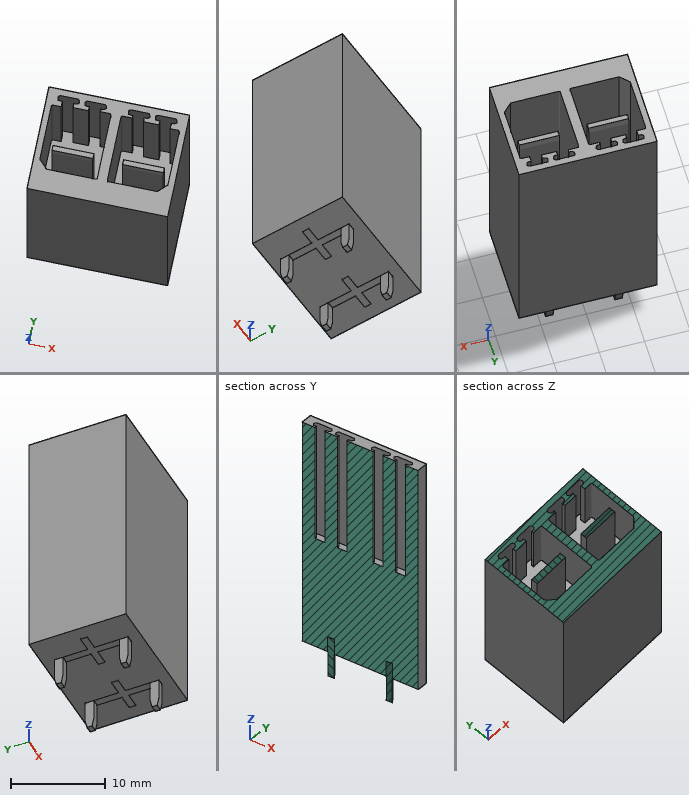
import cadquery as cq

WIDTH = 15.23
DEPTH = 11.4
TOTAL_HEIGHT = 31.8
LEG_LENGTH = 3.5
HOUSING_HEIGHT = TOTAL_HEIGHT - LEG_LENGTH
PITCH = 7.63

OUTER_WALL_X = -3.12
INNER_WALL_X = 3.28
SOCKET_FRONT_Y = -3.2
OUTER_SHOULDER_Y = 3.82
INNER_SHOULDER_Y = 4.13
RIB_END_Y = 3.98
KEY_CHAMFER = 0.95
BACK_CORNER_RADIUS = 0.22
FRONT_CORNER_RADIUS = 0.15
SOCKET_DEPTH = 14.3

T_SLOT_SPACING = 2.93
T_NECK_WIDTH = 1.25
T_HEAD_WIDTH = 2.32
T_HEAD_FRONT_Y = 4.42
T_HEAD_BACK_Y = 5.0
T_HEAD_THICKNESS = T_HEAD_BACK_Y - T_HEAD_FRONT_Y

BLADE_WIDTH = 4.42
BLADE_THICKNESS = 0.8
BLADE_TIP_THICKNESS = 0.55
BLADE_TAPER_HEIGHT = 0.8
BLADE_TOP_BELOW_RIM = 3.02
LEG_SPACING = 7.63
LEG_WIDTH = 0.83
LEG_DEPTH = 1.02
LEG_TIP_DEPTH = 0.6
LEG_TAPER_HEIGHT = 0.95
CROSSBAR_HEIGHT = 1.9


def make_socket():
    """Socket of the left pole, its outer side facing -X, at the origin."""
    rim = cq.Workplane("XY").workplane(offset=TOTAL_HEIGHT)
    mid_depth_z = TOTAL_HEIGHT - SOCKET_DEPTH / 2
    half_spacing = T_SLOT_SPACING / 2

    chamber = (
        rim.moveTo(OUTER_WALL_X, OUTER_SHOULDER_Y)
        .lineTo(-half_spacing, OUTER_SHOULDER_Y)
        .lineTo(-half_spacing, RIB_END_Y)
        .lineTo(half_spacing, RIB_END_Y)
        .lineTo(half_spacing, INNER_SHOULDER_Y)
        .lineTo(INNER_WALL_X, INNER_SHOULDER_Y)
        .lineTo(INNER_WALL_X, SOCKET_FRONT_Y)
        .lineTo(OUTER_WALL_X + KEY_CHAMFER, SOCKET_FRONT_Y)
        .lineTo(OUTER_WALL_X, SOCKET_FRONT_Y + KEY_CHAMFER)
        .close()
        .extrude(-SOCKET_DEPTH)
    )
    for x, y, radius in [
        (OUTER_WALL_X, OUTER_SHOULDER_Y, BACK_CORNER_RADIUS),
        (INNER_WALL_X, INNER_SHOULDER_Y, BACK_CORNER_RADIUS),
        (INNER_WALL_X, SOCKET_FRONT_Y, FRONT_CORNER_RADIUS),
    ]:
        corner = cq.selectors.NearestToPointSelector((x, y, mid_depth_z))
        chamber = chamber.edges(corner).fillet(radius)

    slot_centres = [(-half_spacing, 0), (half_spacing, 0)]
    head_centre_y = (T_HEAD_FRONT_Y + T_HEAD_BACK_Y) / 2
    necks = (
        rim.center(0, head_centre_y / 2)
        .pushPoints(slot_centres)
        .rect(T_NECK_WIDTH, head_centre_y)
        .extrude(-SOCKET_DEPTH)
    )
    heads = (
        rim.center(0, head_centre_y)
        .pushPoints(slot_centres)
        .slot2D(T_HEAD_WIDTH, T_HEAD_THICKNESS)
        .extrude(-SOCKET_DEPTH)
    )
    return chamber.union(necks).union(heads)


def make_leg():
    """Leg with its axis on Z and its tip at z = 0, tapered in Y only."""
    return (
        cq.Workplane("YZ")
        .moveTo(-LEG_DEPTH / 2, LEG_LENGTH)
        .lineTo(-LEG_DEPTH / 2, LEG_TAPER_HEIGHT)
        .lineTo(-LEG_TIP_DEPTH / 2, 0)
        .lineTo(LEG_TIP_DEPTH / 2, 0)
        .lineTo(LEG_DEPTH / 2, LEG_TAPER_HEIGHT)
        .lineTo(LEG_DEPTH / 2, LEG_LENGTH)
        .close()
        .extrude(LEG_WIDTH / 2, both=True)
    )


def make_blade():
    """Blade standing on the underside of the housing, both faces tapering to the tip."""
    tip_z = TOTAL_HEIGHT - BLADE_TOP_BELOW_RIM
    taper_z = tip_z - BLADE_TAPER_HEIGHT
    return (
        cq.Workplane("YZ")
        .moveTo(-BLADE_THICKNESS / 2, LEG_LENGTH)
        .lineTo(-BLADE_THICKNESS / 2, taper_z)
        .lineTo(-BLADE_TIP_THICKNESS / 2, tip_z)
        .lineTo(BLADE_TIP_THICKNESS / 2, tip_z)
        .lineTo(BLADE_THICKNESS / 2, taper_z)
        .lineTo(BLADE_THICKNESS / 2, LEG_LENGTH)
        .close()
        .extrude(BLADE_WIDTH / 2, both=True)
    )


def make_contact(x):
    """One contact with its blade on the pole axis at x."""
    crossbar = (
        cq.Workplane("XY")
        .workplane(offset=LEG_LENGTH)
        .rect(LEG_WIDTH, LEG_SPACING + LEG_DEPTH)
        .extrude(CROSSBAR_HEIGHT)
    )
    contact = make_blade().union(crossbar)
    for y in (-LEG_SPACING / 2, LEG_SPACING / 2):
        contact = contact.union(make_leg().translate((0, y, 0)))
    return contact.translate((x, 0, 0))


def make_housing(contacts):
    """Block with two mirrored sockets and a recess that matches each contact."""
    block = (
        cq.Workplane("XY")
        .workplane(offset=LEG_LENGTH)
        .rect(WIDTH, DEPTH)
        .extrude(HOUSING_HEIGHT)
    )
    left_socket = make_socket().translate((-PITCH / 2, 0, 0))
    housing = block.cut(left_socket).cut(left_socket.mirror("YZ"))
    for contact in contacts:
        housing = housing.cut(contact)
    return housing


contacts = [make_contact(x) for x in (-PITCH / 2, PITCH / 2)]
housing = make_housing(contacts)

result = cq.Compound.makeCompound([housing.val(), *[contact.val() for contact in contacts]])